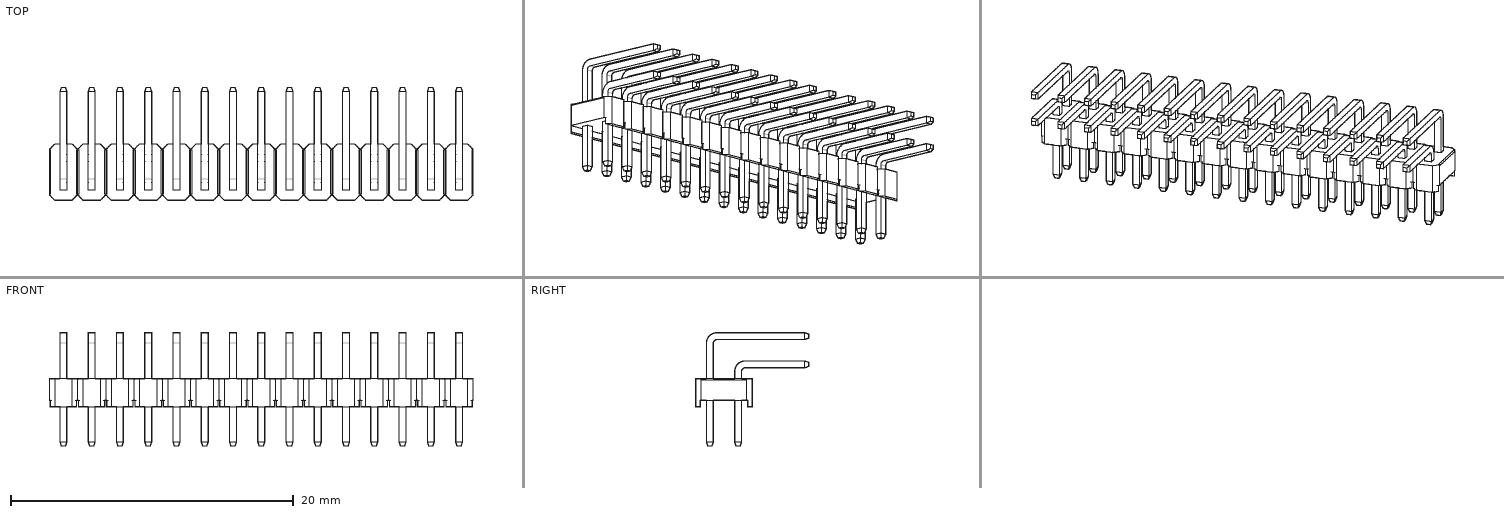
import cadquery as cq
import math

length = 30.0
positions = 15
pitch = length / positions

body_depth = 2 * pitch
body_height = pitch
corner = 0.4
relief_height = 0.45
foot_depth = 0.33
edge_bevel = 0.1
edge_bevel_margin = 0.05

pin_width = pitch / 4
tail_length = 2.8
tip_length = 0.3
tip_width = 0.3
inner_bend_radius = pin_width / 2
arm_end_y = 3 * pitch
lower_arm_height = pitch / 2


def make_cell():
    """One octagonal body segment, centred on X = Y = 0, with its base at Z = 0."""
    half_x = pitch / 2
    cell = (
        cq.Workplane("XY")
        .rect(pitch, body_depth)
        .extrude(body_height)
        .edges("|Z")
        .chamfer(corner)
    )
    bevel_length = body_depth - 2 * (corner + edge_bevel_margin)
    for side in (-1, 1):
        bevel = (
            cq.Workplane("XZ", origin=(0, bevel_length / 2, 0))
            .moveTo(side * half_x, body_height)
            .lineTo(side * (half_x - edge_bevel), body_height)
            .lineTo(side * half_x, body_height - edge_bevel)
            .close()
            .extrude(bevel_length)
        )
        cell = cell.cut(bevel)
    return cell


def make_tip(plane):
    """Tapered pin end, pointing along the normal of the given plane."""
    return (
        cq.Workplane(plane)
        .rect(pin_width, pin_width)
        .workplane(offset=tip_length)
        .rect(tip_width, tip_width)
        .loft(ruled=True)
    )


def make_pin(y, arm_z):
    """Right-angle pin: a vertical tail at y, bent into an arm along +Y at arm_z."""
    tail_z = tip_length - tail_length
    bend_radius = inner_bend_radius + pin_width / 2
    diagonal = bend_radius * math.sqrt(0.5)
    path = (
        cq.Workplane("YZ")
        .moveTo(y, tail_z)
        .lineTo(y, arm_z - bend_radius)
        .threePointArc(
            (y + bend_radius - diagonal, arm_z - bend_radius + diagonal),
            (y + bend_radius, arm_z),
        )
        .lineTo(arm_end_y - tip_length, arm_z)
    )
    shank = (
        cq.Workplane("XY", origin=(0, y, tail_z))
        .rect(pin_width, pin_width)
        .sweep(path)
    )
    tail_tip = make_tip(cq.Plane((0, y, tail_z), (1, 0, 0), (0, 0, -1)))
    arm_tip = make_tip(cq.Plane((0, arm_end_y - tip_length, arm_z), (1, 0, 0), (0, 1, 0)))
    return shank.union(tail_tip).union(arm_tip)


lower_arm_z = body_height + lower_arm_height
inner_pin = make_pin(pitch / 2, lower_arm_z)
outer_pin = make_pin(-pitch / 2, lower_arm_z + pitch)

relief = cq.Workplane("XY").box(
    length, body_depth - 2 * foot_depth, relief_height, centered=(True, True, False)
)

cell_positions = [((i - (positions - 1) / 2) * pitch, 0, 0) for i in range(positions)]

cell = make_cell()
body = cq.Workplane("XY")
for place in cell_positions:
    body = body.union(cell.translate(place))

result = body.cut(relief)
for place in cell_positions:
    result = result.union(inner_pin.translate(place)).union(outer_pin.translate(place))